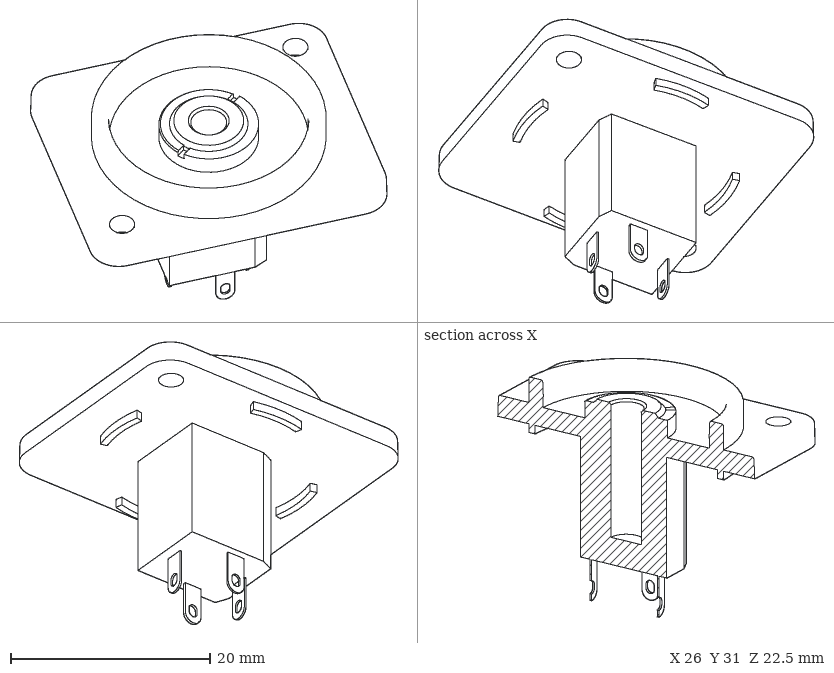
import cadquery as cq
import math

PLATE_WIDTH = 26.0
PLATE_LENGTH = 31.0
PLATE_THICKNESS = 2.35
PLATE_CORNER_RADIUS = 3.0
PLATE_DRAFT = 1.5
PLATE_EDGE_FILLET = 0.3

MOUNT_HOLE_DIAMETER = 2.5
MOUNT_HOLE_X = 9.5
MOUNT_HOLE_Y = 12.0

RIM_OUTER_DIAMETER = 23.55
RIM_TOP = 5.1
RIM_OUTER_FILLET = 0.28

RECESS_FLOOR_DIAMETER = 20.0
RECESS_FLOOR = 2.17
RECESS_DRAFT = 1.0
RECESS_EDGE_FILLET = 0.28

NUT_DIAMETER = 10.0
NUT_TOP = 4.05
NUT_EDGE_CHAMFER = 0.15
NUT_SLOT_WIDTH = 0.75
NUT_SLOT_DEPTH = 0.62
NUT_SLOT_ANGLE = 129.0

SLEEVE_DIAMETER = 8.0
SLEEVE_TOP_DIAMETER = 7.0
SLEEVE_TOP = 4.5
SLEEVE_BEVEL_HEIGHT = 0.5
BORE_DIAMETER = 3.6
BORE_CHAMFER = 0.25
BORE_BOTTOM = -10.0

LUG_OUTER_DIAMETER = 23.5
LUG_THICKNESS = 0.75
LUG_HEIGHT = 0.93
LUG_SPAN = 30.0

BODY_WIDTH = 9.0
BODY_BACK_Y = 4.9
BODY_FRONT_Y = -5.52
BODY_DEPTH = 13.0
BODY_CORNER_WIDTH = 1.43
BODY_CORNER_LENGTH = 0.65

TAG_WIDTH = 1.98
TAG_LENGTH = 4.4
TAG_EYE_WIDTH = 1.0
TAG_EYE_LENGTH = 1.4
TAG_EYE_FROM_TIP = 1.43
TAG_ROOT = 0.3
TAG_THICKNESS = 0.22
LEFT_TAG_THICKNESS = 0.3
LEFT_TAG_X = -3.53
RIGHT_TAG_X = 3.6
SIDE_TAG_Y = 0.62
BACK_TAG_Y = 3.85
FRONT_TAG_Y = -4.28


def cylinder(diameter, bottom, top):
    return cq.Workplane("XY").workplane(offset=bottom).circle(diameter / 2).extrude(top - bottom)


def make_plate():
    outline = (
        cq.Sketch()
        .rect(PLATE_WIDTH, PLATE_LENGTH)
        .vertices()
        .fillet(PLATE_CORNER_RADIUS)
    )
    plate = cq.Workplane("XY").placeSketch(outline).extrude(PLATE_THICKNESS, taper=PLATE_DRAFT)
    plate = plate.faces(">Z").edges().fillet(PLATE_EDGE_FILLET)
    hole_places = [(-MOUNT_HOLE_X, MOUNT_HOLE_Y), (MOUNT_HOLE_X, -MOUNT_HOLE_Y)]
    holes = (
        cq.Workplane("XY")
        .pushPoints(hole_places)
        .circle(MOUNT_HOLE_DIAMETER / 2)
        .extrude(PLATE_THICKNESS)
    )
    return plate.cut(holes)


def make_rim():
    rim = cylinder(RIM_OUTER_DIAMETER, 0, RIM_TOP)
    return rim.faces(">Z").edges().fillet(RIM_OUTER_FILLET)


def cut_recess(plate_and_rim):
    recess = (
        cq.Workplane("XY")
        .workplane(offset=RECESS_FLOOR)
        .circle(RECESS_FLOOR_DIAMETER / 2)
        .extrude(RIM_TOP - RECESS_FLOOR, taper=-RECESS_DRAFT)
    )
    recessed = plate_and_rim.cut(recess)
    inner_edge = cq.selectors.RadiusNthSelector(0)
    return recessed.faces(">Z").edges(inner_edge).fillet(RECESS_EDGE_FILLET)


def make_nut():
    plain = cylinder(NUT_DIAMETER, 0, NUT_TOP)
    chamfered = plain.faces(">Z").edges().chamfer(NUT_EDGE_CHAMFER)
    plain_half = (
        cq.Workplane("XY")
        .rect(2 * NUT_DIAMETER, NUT_DIAMETER)
        .extrude(NUT_TOP)
        .translate((0, -NUT_DIAMETER / 2, 0))
        .rotate((0, 0, 0), (0, 0, 1), NUT_SLOT_ANGLE)
    )
    nut = chamfered.union(plain.intersect(plain_half))
    slot = (
        cq.Workplane("XY")
        .workplane(offset=NUT_TOP - NUT_SLOT_DEPTH)
        .rect(2 * NUT_DIAMETER, NUT_SLOT_WIDTH)
        .extrude(NUT_SLOT_DEPTH)
        .rotate((0, 0, 0), (0, 0, 1), NUT_SLOT_ANGLE)
    )
    return nut.cut(slot)


def make_sleeve():
    bevel_width = (SLEEVE_DIAMETER - SLEEVE_TOP_DIAMETER) / 2
    sleeve = cylinder(SLEEVE_DIAMETER, 0, SLEEVE_TOP)
    return sleeve.faces(">Z").edges().chamfer(SLEEVE_BEVEL_HEIGHT, bevel_width)


def make_bore():
    bore_radius = BORE_DIAMETER / 2
    mouth_radius = bore_radius + BORE_CHAMFER
    return (
        cq.Workplane("XZ")
        .moveTo(0, BORE_BOTTOM)
        .lineTo(bore_radius, BORE_BOTTOM)
        .lineTo(bore_radius, SLEEVE_TOP - BORE_CHAMFER)
        .lineTo(mouth_radius, SLEEVE_TOP)
        .lineTo(0, SLEEVE_TOP)
        .close()
        .revolve(360, (0, 0), (0, 1))
    )


def make_lugs():
    outer_radius = LUG_OUTER_DIAMETER / 2
    inner_radius = outer_radius - LUG_THICKNESS

    def polar(radius, degrees):
        angle = math.radians(degrees)
        return (radius * math.cos(angle), radius * math.sin(angle))

    half = LUG_SPAN / 2
    lug = (
        cq.Workplane("XY")
        .moveTo(*polar(inner_radius, -half))
        .lineTo(*polar(outer_radius, -half))
        .threePointArc((outer_radius, 0), polar(outer_radius, half))
        .lineTo(*polar(inner_radius, half))
        .threePointArc((inner_radius, 0), polar(inner_radius, -half))
        .close()
        .extrude(-LUG_HEIGHT)
    )
    lugs = cq.Workplane("XY")
    for quarter in range(4):
        lugs = lugs.add(lug.rotate((0, 0, 0), (0, 0, 1), 90 * quarter))
    return lugs.combine()


def make_body():
    return (
        cq.Workplane("XY")
        .rect(BODY_WIDTH, BODY_BACK_Y - BODY_FRONT_Y)
        .extrude(-BODY_DEPTH)
        .translate((0, (BODY_BACK_Y + BODY_FRONT_Y) / 2, 0))
        .edges("|Z and >Y")
        .chamfer(BODY_CORNER_WIDTH, BODY_CORNER_LENGTH)
    )


def make_tag(x, y, thickness, turn):
    """A round-ended tag, its flat face toward -Y before it is turned about Z."""
    half_width = TAG_WIDTH / 2
    tip = -BODY_DEPTH - TAG_LENGTH
    tag = (
        cq.Workplane("XZ")
        .moveTo(-half_width, -BODY_DEPTH + TAG_ROOT)
        .lineTo(-half_width, tip + half_width)
        .threePointArc((0, tip), (half_width, tip + half_width))
        .lineTo(half_width, -BODY_DEPTH + TAG_ROOT)
        .close()
        .extrude(thickness / 2, both=True)
    )
    eye = (
        cq.Workplane("XZ")
        .center(0, tip + TAG_EYE_FROM_TIP)
        .slot2D(TAG_EYE_LENGTH, TAG_EYE_WIDTH, 90)
        .extrude(thickness, both=True)
    )
    return tag.cut(eye).rotate((0, 0, 0), (0, 0, 1), turn).translate((x, y, 0))


result = cut_recess(make_plate().union(make_rim()))
for piece in (make_nut(), make_sleeve(), make_lugs(), make_body()):
    result = result.union(piece)
result = result.cut(make_bore())

for tag in (
    make_tag(LEFT_TAG_X, SIDE_TAG_Y, LEFT_TAG_THICKNESS, 90),
    make_tag(RIGHT_TAG_X, SIDE_TAG_Y, TAG_THICKNESS, 90),
    make_tag(0, BACK_TAG_Y, TAG_THICKNESS, 0),
    make_tag(0, FRONT_TAG_Y, TAG_THICKNESS, 0),
):
    result = result.union(tag)